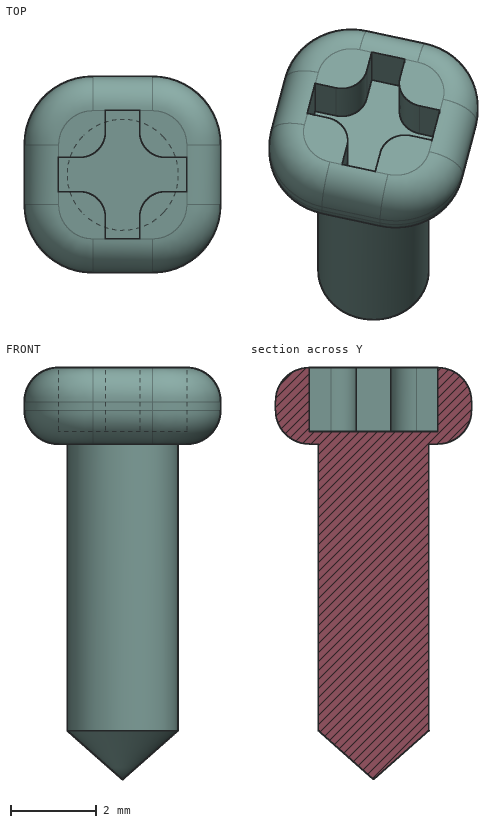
import cadquery as cq

head_width = 4.6
head_height = 1.8
head_corner_radius = 1.6
rim_radius = 0.8

shank_diameter = 2.6
total_length = 9.65
point_length = 1.15
head_base_z = total_length - head_height

recess_span = head_width - 2 * rim_radius
recess_arm_width = 0.8
recess_corner_radius = 0.6
recess_depth = 1.5


def make_head():
    return (
        cq.Workplane("XY", origin=(0, 0, head_base_z))
        .rect(head_width, head_width)
        .extrude(head_height)
        .edges("|Z")
        .fillet(head_corner_radius)
        .faces("<Z or >Z")
        .edges()
        .fillet(rim_radius)
    )


def make_shank():
    """Cylinder and conical point, revolved about Z with the tip at the origin."""
    shank_radius = shank_diameter / 2
    return (
        cq.Workplane("XZ")
        .lineTo(shank_radius, point_length)
        .lineTo(shank_radius, head_base_z)
        .lineTo(0, head_base_z)
        .close()
        .revolve(360, (0, 0, 0), (0, 1, 0))
    )


def make_recess():
    """Cross-shaped cutter whose four inner corners are rounded."""
    recess_floor_z = total_length - recess_depth
    floor = cq.Workplane("XY", origin=(0, 0, recess_floor_z))
    arm_x = floor.rect(recess_span, recess_arm_width).extrude(recess_depth)
    arm_y = floor.rect(recess_arm_width, recess_span).extrude(recess_depth)
    inner_corners = cq.selectors.BoxSelector(
        (-recess_arm_width, -recess_arm_width, recess_floor_z),
        (recess_arm_width, recess_arm_width, total_length),
    )
    return arm_x.union(arm_y).edges("|Z").edges(inner_corners).fillet(recess_corner_radius)


result = make_shank().union(make_head()).cut(make_recess())